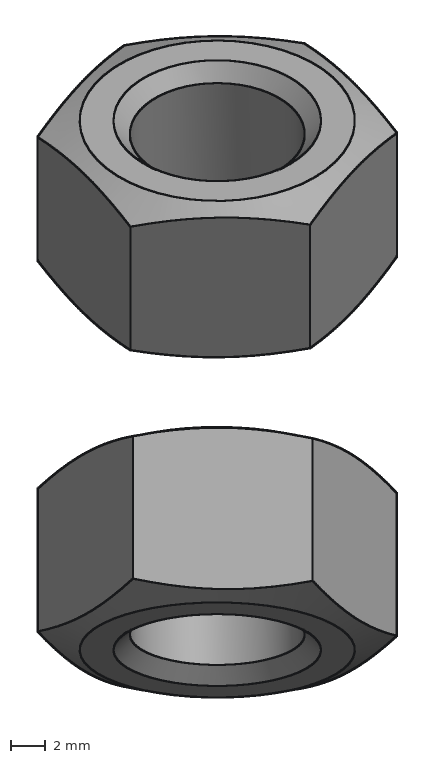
import cadquery as cq
import math

across_corners = 20.78
height = 10.8
bore_diameter = 10.1
countersink_diameter = 12.0
face_diameter = 15.9
corner_chamfer_angle = 22.5

corner_radius = across_corners / 2
bore_radius = bore_diameter / 2
countersink_radius = countersink_diameter / 2
countersink_depth = countersink_radius - bore_radius
face_radius = face_diameter / 2
chamfer_drop = (corner_radius - face_radius) * math.tan(math.radians(corner_chamfer_angle))
half_height = height / 2


def hexagonal_prism():
    """Hexagon centred on the origin, with two corners on the X axis."""
    return cq.Workplane("XY").polygon(6, across_corners).extrude(half_height, both=True)


def chamfered_envelope():
    """Revolved nut section: conical outer chamfers, bore and countersinks at both ends."""
    return (
        cq.Workplane("XZ")
        .moveTo(bore_radius, half_height - countersink_depth)
        .lineTo(countersink_radius, half_height)
        .lineTo(face_radius, half_height)
        .lineTo(corner_radius, half_height - chamfer_drop)
        .lineTo(corner_radius, chamfer_drop - half_height)
        .lineTo(face_radius, -half_height)
        .lineTo(countersink_radius, -half_height)
        .lineTo(bore_radius, countersink_depth - half_height)
        .close()
        .revolve(360, (0, 0, 0), (0, 1, 0))
    )


result = hexagonal_prism().intersect(chamfered_envelope())